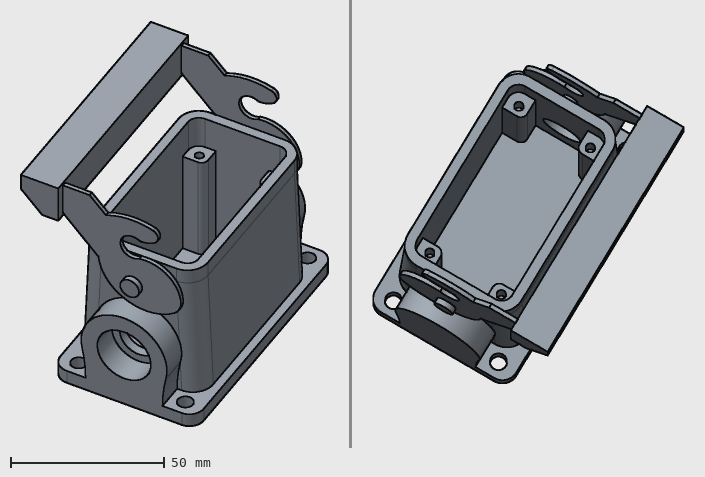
import cadquery as cq
import math

BASE_LENGTH = 92.5
BASE_WIDTH = 53.5
BASE_HEIGHT = 5.2
BASE_CORNER_RADIUS = 5.3
MOUNT_HOLE_DIAMETER = 5.55
MOUNT_HOLE_SPACING_X = 39.8
MOUNT_HOLE_SPACING_Y = 81.8

SHELL_LENGTH = 72.9
SHELL_FOOT_WIDTH = 47.1
SHELL_RIM_WIDTH = 43.1
SHELL_CORNER_RADIUS = 7.6
RIM_WALL = 3.5
COLLAR_HEIGHT = 5.4
RIM_Z = 57.0
COLLAR_Z = RIM_Z - COLLAR_HEIGHT

POST_TOP_Z = 44.8
POST_INNER_X = 9.9
POST_INNER_Y = 25.25
POST_EDGE_RADIUS = 2.5
POST_HOLE_DIAMETER = 3.05
POST_HOLE_DEPTH = 9.25
POST_HOLE_SPACING_X = 27.1
POST_HOLE_SPACING_Y = 56.8

BOSS_RADIUS = 16.0
BOSS_AXIS_Z = 21.0
BOSS_NECK_HEIGHT = 12.5
BORE_DIAMETER = 20.0
ENTRY_HOLE_DIAMETER = 14.1

BAR_LENGTH = 86.95
BAR_SIDE = 14.0
BAR_CHAMFER = 8.0
BAR_OVERHANG = 13.3
BAR_LEFT_X = -BASE_WIDTH / 2 - BAR_OVERHANG
BAR_RIGHT_X = BAR_LEFT_X + BAR_SIDE
BAR_TOP_Z = 79.8
ARM_INNER_Y = 38.85
ARM_THICKNESS = 1.6
ARM_TOP_DROP = 0.9
ARM_TOP_Z = BAR_TOP_Z - ARM_TOP_DROP
PIVOT_Z = 47.0
PIVOT_DIAMETER = 5.0
PIVOT_HEAD_DIAMETER = 7.0
PIVOT_HEAD_END_Y = 42.55

CROWN_CENTER = (-0.1, 49.4)
TIP_CENTER = (6.6, 70.95)
TIP_RADIUS = 2.9
HOOK_CENTER = (3.05, 75.9)
LOBE_CENTER = (4.7, 46.25)
NOSE_CENTER = (11.8, 46.25)
NOSE_RADIUS = 6.1
BELLY_CENTER = (4.9, 55.7)
SHOULDER_X = -10.0
HEEL_Z = 53.7
SLOT_CENTER = (0.0, 63.2)
SLOT_RADIUS = 4.6
SLOT_MOUTH_X = 0.9


def shell_outside():
    """Solid outer form of the shell: leaning body and straight collar, corners rounded."""
    half_foot = SHELL_FOOT_WIDTH / 2
    half_rim = SHELL_RIM_WIDTH / 2
    return (
        cq.Workplane("XZ", origin=(0, SHELL_LENGTH / 2, 0))
        .moveTo(-half_foot, BASE_HEIGHT)
        .lineTo(-half_rim, COLLAR_Z)
        .lineTo(-half_rim, RIM_Z)
        .lineTo(half_rim, RIM_Z)
        .lineTo(half_rim, COLLAR_Z)
        .lineTo(half_foot, BASE_HEIGHT)
        .close()
        .extrude(SHELL_LENGTH)
        .edges("not (|X or |Y)")
        .fillet(SHELL_CORNER_RADIUS)
    )


def shell_cavity():
    """Straight-sided pocket from the rim down to the top of the base."""
    return (
        cq.Workplane("XY", origin=(0, 0, BASE_HEIGHT))
        .rect(SHELL_RIM_WIDTH - 2 * RIM_WALL, SHELL_LENGTH - 2 * RIM_WALL)
        .extrude(RIM_Z - BASE_HEIGHT)
        .edges("|Z")
        .fillet(SHELL_CORNER_RADIUS - RIM_WALL)
    )


def base_flange():
    return (
        cq.Workplane("XY")
        .box(BASE_WIDTH, BASE_LENGTH, BASE_HEIGHT, centered=(True, True, False))
        .edges("|Z")
        .fillet(BASE_CORNER_RADIUS)
        .faces(">Z")
        .workplane()
        .rect(MOUNT_HOLE_SPACING_X, MOUNT_HOLE_SPACING_Y, forConstruction=True)
        .vertices()
        .hole(MOUNT_HOLE_DIAMETER)
    )


def cable_bosses():
    """Round bosses whose necks curve down to stand upright on the base.

    Each side of the neck is an arc tangent to the round part and vertical at the base.
    """
    neck_top_z = BASE_HEIGHT + BOSS_NECK_HEIGHT
    drop = BOSS_AXIS_Z - neck_top_z
    neck_top_x = math.sqrt(BOSS_RADIUS**2 - drop**2)
    neck_radius = BOSS_NECK_HEIGHT * BOSS_RADIUS / drop
    neck_foot_x = neck_top_x - neck_radius * (1 - neck_top_x / BOSS_RADIUS)
    return (
        cq.Workplane("XZ", origin=(0, BASE_LENGTH / 2, 0))
        .moveTo(-neck_foot_x, BASE_HEIGHT)
        .radiusArc((-neck_top_x, neck_top_z), -neck_radius)
        .threePointArc((0, BOSS_AXIS_Z + BOSS_RADIUS), (neck_top_x, neck_top_z))
        .radiusArc((neck_foot_x, BASE_HEIGHT), -neck_radius)
        .close()
        .extrude(BASE_LENGTH)
    )


def screw_posts(cavity):
    """Corner posts that follow the cavity walls, each with a blind screw hole."""
    inner_gap = (
        cq.Workplane("XY")
        .rect(2 * POST_INNER_X, BASE_LENGTH)
        .extrude(POST_TOP_Z)
        .union(cq.Workplane("XY").rect(BASE_WIDTH, 2 * POST_INNER_Y).extrude(POST_TOP_Z))
    )
    corners = (
        cq.Workplane("XY", origin=(0, 0, BASE_HEIGHT))
        .rect(BASE_WIDTH, BASE_LENGTH)
        .extrude(POST_TOP_Z - BASE_HEIGHT)
        .cut(inner_gap)
    )
    reach_x = POST_INNER_X + POST_EDGE_RADIUS
    reach_y = POST_INNER_Y + POST_EDGE_RADIUS
    inner_edges = cq.selectors.BoxSelector((-reach_x, -reach_y, 0), (reach_x, reach_y, RIM_Z))
    holes = (
        cq.Workplane("XY", origin=(0, 0, POST_TOP_Z - POST_HOLE_DEPTH))
        .rect(POST_HOLE_SPACING_X, POST_HOLE_SPACING_Y, forConstruction=True)
        .vertices()
        .circle(POST_HOLE_DIAMETER / 2)
        .extrude(POST_HOLE_DEPTH)
    )
    posts = corners.edges("|Z").edges(inner_edges).fillet(POST_EDGE_RADIUS)
    return posts.intersect(cavity).cut(holes)


def cable_entry():
    """Bore down to the shell's end wall, then a smaller hole into the cavity."""
    face = cq.Workplane("XZ", origin=(0, -BASE_LENGTH / 2, BOSS_AXIS_Z))
    boss_depth = (BASE_LENGTH - SHELL_LENGTH) / 2
    bore = face.circle(BORE_DIAMETER / 2).extrude(-boss_depth)
    entry_hole = face.circle(ENTRY_HOLE_DIAMETER / 2).extrude(-(boss_depth + RIM_WALL))
    return bore.union(entry_hole)


def make_housing():
    cavity = shell_cavity()
    outside = base_flange().union(shell_outside()).union(cable_bosses())
    return outside.cut(cavity).cut(cable_entry()).union(screw_posts(cavity))


def tangent_point(big_center, small_center, small_radius):
    """Where a small circle touches, from inside, a larger one around big_center."""
    reach = math.dist(big_center, small_center)
    return tuple(s + (s - b) * small_radius / reach for b, s in zip(big_center, small_center))


def half_chord(radius, offset):
    """Half the chord of a circle at a distance offset from its centre."""
    return math.sqrt(radius**2 - offset**2)


def lever_arm():
    """Flat arm on the -Y side, with a hooked slot that opens toward +X."""
    crown_radius = math.dist(CROWN_CENTER, TIP_CENTER) + TIP_RADIUS
    hook_radius = math.dist(HOOK_CENTER, TIP_CENTER) + TIP_RADIUS
    lobe_radius = math.dist(LOBE_CENTER, NOSE_CENTER) + NOSE_RADIUS
    belly_radius = math.dist(BELLY_CENTER, NOSE_CENTER) + NOSE_RADIUS

    shoulder_z = CROWN_CENTER[1] + half_chord(crown_radius, SHOULDER_X - CROWN_CENTER[0])
    slope_top_x = SHOULDER_X - (ARM_TOP_Z - shoulder_z)
    hook_end_z = HOOK_CENTER[1] - half_chord(hook_radius, SLOT_MOUTH_X - HOOK_CENTER[0])
    lobe_start_z = LOBE_CENTER[1] + half_chord(lobe_radius, SLOT_MOUTH_X - LOBE_CENTER[0])
    heel_x = BELLY_CENTER[0] - half_chord(belly_radius, HEEL_Z - BELLY_CENTER[1])
    slope_foot_z = HEEL_Z + (heel_x - BAR_RIGHT_X)

    inner_face = cq.Workplane("XZ", origin=(0, -ARM_INNER_Y, 0))
    plate = (
        inner_face.moveTo(BAR_RIGHT_X, ARM_TOP_Z)
        .lineTo(slope_top_x, ARM_TOP_Z)
        .lineTo(SHOULDER_X, shoulder_z)
        .radiusArc(tangent_point(CROWN_CENTER, TIP_CENTER, TIP_RADIUS), crown_radius)
        .radiusArc(tangent_point(HOOK_CENTER, TIP_CENTER, TIP_RADIUS), TIP_RADIUS)
        .radiusArc((SLOT_MOUTH_X, hook_end_z), hook_radius)
        .lineTo(SLOT_MOUTH_X, lobe_start_z)
        .radiusArc(tangent_point(LOBE_CENTER, NOSE_CENTER, NOSE_RADIUS), lobe_radius)
        .radiusArc(tangent_point(BELLY_CENTER, NOSE_CENTER, NOSE_RADIUS), NOSE_RADIUS)
        .radiusArc((heel_x, HEEL_Z), belly_radius)
        .lineTo(BAR_RIGHT_X, slope_foot_z)
        .close()
        .extrude(ARM_THICKNESS)
    )
    slot = inner_face.center(*SLOT_CENTER).circle(SLOT_RADIUS).extrude(ARM_THICKNESS)
    return plate.cut(slot)


def pivot():
    """Stepped pivot from the housing end wall through the arm to its head."""
    wall_y = SHELL_LENGTH / 2
    arm_outer_y = ARM_INNER_Y + ARM_THICKNESS
    shank = (
        cq.Workplane("XZ", origin=(0, -wall_y, PIVOT_Z))
        .circle(PIVOT_DIAMETER / 2)
        .extrude(arm_outer_y - wall_y)
    )
    head = (
        cq.Workplane("XZ", origin=(0, -arm_outer_y, PIVOT_Z))
        .circle(PIVOT_HEAD_DIAMETER / 2)
        .extrude(PIVOT_HEAD_END_Y - arm_outer_y)
    )
    return shank.union(head)


def grip_bar():
    bar_bottom_z = BAR_TOP_Z - BAR_SIDE
    return (
        cq.Workplane("XZ", origin=(0, BAR_LENGTH / 2, 0))
        .moveTo(BAR_LEFT_X, BAR_TOP_Z)
        .lineTo(BAR_RIGHT_X, BAR_TOP_Z)
        .lineTo(BAR_RIGHT_X, bar_bottom_z)
        .lineTo(BAR_LEFT_X + BAR_CHAMFER, bar_bottom_z)
        .lineTo(BAR_LEFT_X, bar_bottom_z + BAR_CHAMFER)
        .close()
        .extrude(BAR_LENGTH)
    )


def make_lever():
    near_side = lever_arm().union(pivot())
    far_side = near_side.mirror("XZ")
    return grip_bar().union(near_side).union(far_side)


housing = make_housing()
lever = make_lever()
result = cq.Compound.makeCompound([housing.val(), lever.val()])